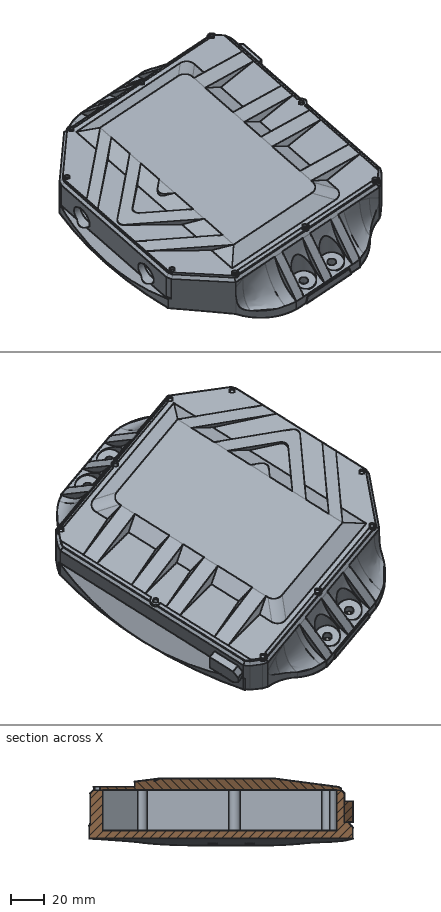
import cadquery as cq
import math

LID_TOP = 39.72
LID_PLATE_TOP = LID_TOP - 5.0
HOUSING_TOP = LID_PLATE_TOP - 2.0
RIM_CHAMFER = 1.9
WALL_TOP = HOUSING_TOP - RIM_CHAMFER

HALF_LENGTH = 97.2
WALL_X = 77.1
BACK_Y = 66.9
FRONT_Y = -83.5
FRONT_CORNER_DIAGONAL = 132.5
FRONT_BEVEL_BOTTOM = 13.0
FRONT_BEVEL_X = 2.0
FRONT_BEVEL_Y = 1.3

UNDERSIDE_RISE = 5.4

FRONT_SKIRT_REACH = 5.75
FRONT_SKIRT_HALF_WIDTH = 49.0
FRONT_SKIRT_TOP = 12.2
FRONT_SKIRT_DROP = 5.0
BACK_SKIRT_REACH = 165.81 - FRONT_SKIRT_REACH - BACK_Y + FRONT_Y
BACK_SKIRT_HALF_WIDTH = 67.8
BACK_SKIRT_TOP = 16.2
BACK_SKIRT_DROP = 10.8

CABLE_HOLE_DIAMETER = 14.0
CABLE_HOLE_X = 28.8
CABLE_HOLE_Z = 17.9

SIDE_WALL = 4.8
CAVITY_FLOOR = 9.0
SCREW_POST_DIAMETER = 7.0

WING_EDGE_X = 96.7
WING_EDGE_BACK = 22.5
WING_EDGE_FRONT = -23.8
WING_WAIST = (-87.0, 41.2)
WING_BACK = 56.9
WING_FRONT = WALL_X - FRONT_CORNER_DIAGONAL
WING_FLOOR = 7.3
PAD_FOOT_WIDTH = 35.4
PAD_TOP_WIDTH = 32.6
PAD_TOP = 5.8
GUSSET_WIDTH = 5.9
GUSSET_PITCH = 21.9
MOUNT_HOLE_DIAMETER = 5.2
MOUNT_SEAT_DIAMETER = 15.0
MOUNT_HOLE_X = 87.2

EDGE_SLOPE_WIDTH = 2.0
EDGE_SLOPE_DROP = 1.0
SCREW_DIAMETER = 3.2
SIDE_SCREW_X = 73.4
SIDE_SCREW_YS = (-53.0, 1.9, 56.8)
FRONT_SCREW = (47.2, -79.0)
BACK_SCREW_Y = 63.1
SCREWS = [(0, BACK_SCREW_Y)]
for side in (-1, 1):
    SCREWS += [(side * SIDE_SCREW_X, y) for y in SIDE_SCREW_YS]
    SCREWS.append((side * FRONT_SCREW[0], FRONT_SCREW[1]))
SIDE_BOSS_DIAMETER = 5.0
BACK_BOSS_DIAMETER = 6.4

PANEL_HALF_WIDTH = 60.0
PANEL_BACK = 25.0
PANEL_FRONT = -42.0
PANEL_SLOPE_WIDTH = 10.0
PANEL_CORNER_RADIUS = 6.0

BACK_RIB_XS = (-47.7, -12.6, 12.6, 47.7)
BACK_RIB_WIDTH = 10.0
BACK_RIB_FLARE = 0.72

CHEVRON_PITCH = 26.5
CHEVRON_WIDTH = 10.0
CHEVRON_LEAN = 0.844
CHEVRON_TIP_RADIUS = 4.0

CONNECTOR_LEFT = -66.2
CONNECTOR_RIGHT = -45.6
CONNECTOR_BOTTOM = 13.8
CONNECTOR_TOP = 26.2
CONNECTOR_CHAMFER = 3.7
CONNECTOR_REACH = 4.9

MARGIN = 20.0


def box(x0, x1, y0, y1, z0, z1):
    return cq.Workplane("XY").box(x1 - x0, y1 - y0, z1 - z0, centered=False).translate((x0, y0, z0))


def prism(points, z0, z1):
    return cq.Workplane("XY").workplane(offset=z0).polyline(points).close().extrude(z1 - z0)


def cylinder(x, y, diameter, z0, z1):
    return cq.Workplane("XY").workplane(offset=z0).center(x, y).circle(diameter / 2).extrude(z1 - z0)


def both_sides(left):
    """The left-hand solid together with its mirror image on the right."""
    return left.union(left.mirror("YZ"))


def wall_outline(front_bevel):
    """Plan outline of the housing walls, with bevelled or sharp front corners."""
    corner_x = FRONT_CORNER_DIAGONAL + FRONT_Y
    left = [(-WALL_X, WING_FRONT)]
    if front_bevel:
        left.append((-corner_x - FRONT_BEVEL_Y, FRONT_Y + FRONT_BEVEL_Y))
        left.append((-corner_x + FRONT_BEVEL_X, FRONT_Y))
    else:
        left.append((-corner_x, FRONT_Y))
    back_corner = [(-66.6, BACK_Y), (-69.9, 65.0), (-75.1, 59.8), (-WALL_X, WING_BACK)]
    left = back_corner + left
    return left + [(-x, y) for x, y in reversed(left)]


def walls():
    lower = prism(wall_outline(False), 0, FRONT_BEVEL_BOTTOM)
    upper = prism(wall_outline(True), FRONT_BEVEL_BOTTOM, HOUSING_TOP)
    upper = upper.faces(">Z").chamfer(RIM_CHAMFER)
    return lower.union(upper)


def skirt(wall_y, reach, half_width, top, drop):
    """Bulging foot of a wall; reach is signed along Y and its top slopes away from the wall."""
    plan = (
        cq.Workplane("XY")
        .moveTo(-half_width, wall_y)
        .threePointArc((0, wall_y + reach), (half_width, wall_y))
        .close()
        .extrude(top)
    )
    slope = (
        cq.Workplane("YZ")
        .polyline([(wall_y, 0), (wall_y, top), (wall_y + reach, top - drop), (wall_y + reach, 0)])
        .close()
        .extrude(half_width, both=True)
    )
    return plan.intersect(slope)


def edge_pad():
    """Slightly proud face on the outer edge of the left wing, narrowing upwards."""
    foot = PAD_FOOT_WIDTH / 2
    top = PAD_TOP_WIDTH / 2
    return (
        cq.Workplane("YZ", origin=(-HALF_LENGTH, 0, 0))
        .polyline([(-foot, 0), (foot, 0), (top, PAD_TOP), (-top, PAD_TOP)])
        .close()
        .extrude(HALF_LENGTH - WALL_X)
    )


def wing_plan():
    """Plan of the left wing, rounded at the front and S-curved into the back corner."""
    return (
        cq.Workplane("XY")
        .moveTo(-WALL_X + 5, WING_BACK)
        .lineTo(-WALL_X, WING_BACK)
        .threePointArc((-81.0, 48.0), WING_WAIST)
        .threePointArc((-93.5, 32.6), (-WING_EDGE_X, WING_EDGE_BACK))
        .lineTo(-WING_EDGE_X, WING_EDGE_FRONT)
        .threePointArc((-90.0, -43.4), (-WALL_X, WING_FRONT))
        .lineTo(-WALL_X + 5, WING_FRONT)
        .close()
        .extrude(WALL_TOP)
        .union(edge_pad())
    )


def ramp_section(y, foot_x, pull, top_z):
    """Wire across the wing: flat floor, then a hollow curve drawn towards `pull` and up the side wall."""
    inner_x = -WALL_X + 5
    outer_x = -HALF_LENGTH - 3
    return (
        cq.Workplane("XZ", origin=(0, y, 0))
        .moveTo(inner_x, 0)
        .lineTo(outer_x, 0)
        .lineTo(outer_x, WING_FLOOR)
        .lineTo(foot_x, WING_FLOOR)
        .bezier([(foot_x, WING_FLOOR), pull, (-WALL_X, top_z)])
        .lineTo(inner_x, top_z)
        .close()
        .wire()
        .val()
    )


def wing_ramp():
    """Scooped top of the left wing: one section along the middle, tightening at both ends."""
    wide = (-WING_EDGE_X, (-83.1, 10.5), WALL_TOP)
    sections = [
        ramp_section(WING_FRONT, -80.0, (-WALL_X, 9.0), 26.7),
        ramp_section(-50.0, -84.4, (-WALL_X, 8.5), 30.0),
        ramp_section(-32.5, *wide),
        ramp_section(29.0, *wide),
        ramp_section(WING_WAIST[1], WING_WAIST[0], (-78.5, 10.0), WALL_TOP),
        ramp_section(49.0, -83.0, (-77.3, 10.0), 27.2),
        ramp_section(WING_BACK, -80.0, (-WALL_X, 10.0), 21.5),
    ]
    ramp = cq.Workplane("XY")
    for near, far in zip(sections, sections[1:]):
        ramp = ramp.union(cq.Workplane(obj=cq.Solid.makeLoft([near, far], True)))
    return ramp


def gussets():
    profile = [(-WALL_X + 1, 0), (-WING_EDGE_X, 0), (-WING_EDGE_X, WING_FLOOR), (-WALL_X, WALL_TOP),
               (-WALL_X + 1, WALL_TOP)]
    ribs = cq.Workplane("XY")
    for row in (-1, 0, 1):
        rib = cq.Workplane("XZ").polyline(profile).close().extrude(GUSSET_WIDTH / 2, both=True)
        ribs = ribs.union(rib.translate((0, row * GUSSET_PITCH, 0)))
    return ribs


def left_wing():
    wing = wing_plan().intersect(wing_ramp())
    for side in (-1, 1):
        y = side * GUSSET_PITCH / 2
        wing = wing.cut(cylinder(-MOUNT_HOLE_X, y, MOUNT_SEAT_DIAMETER, WING_FLOOR, HOUSING_TOP))
        wing = wing.cut(cylinder(-MOUNT_HOLE_X, y, MOUNT_HOLE_DIAMETER, 0, WING_FLOOR))
    return wing.union(gussets())


def underside():
    """Cylinder along Y whose top hollows the bottom of the housing."""
    radius = (HALF_LENGTH**2 + UNDERSIDE_RISE**2) / (2 * UNDERSIDE_RISE)
    return (
        cq.Workplane("XZ")
        .center(0, UNDERSIDE_RISE - radius)
        .circle(radius)
        .extrude(BACK_Y - FRONT_Y, both=True)
    )


def cavity():
    """Open-topped room for the electronics, leaving even walls and a post under each lid screw."""
    plan = cq.Workplane("XY").workplane(offset=CAVITY_FLOOR).polyline(wall_outline(False)).close()
    room = plan.offset2D(-SIDE_WALL, "intersection").extrude(HOUSING_TOP - CAVITY_FLOOR)
    for x, y in SCREWS:
        room = room.cut(cylinder(x, y, SCREW_POST_DIAMETER, CAVITY_FLOOR, HOUSING_TOP))
    return room


def make_housing(connector):
    wing = left_wing()
    body = (
        walls()
        .union(both_sides(wing))
        .union(skirt(FRONT_Y, -FRONT_SKIRT_REACH, FRONT_SKIRT_HALF_WIDTH, FRONT_SKIRT_TOP, FRONT_SKIRT_DROP))
        .union(skirt(BACK_Y, BACK_SKIRT_REACH, BACK_SKIRT_HALF_WIDTH, BACK_SKIRT_TOP, BACK_SKIRT_DROP))
        .cut(underside())
        .cut(cavity())
    )
    cable_holes = (
        cq.Workplane("XZ", origin=(0, FRONT_Y + SIDE_WALL, 0))
        .pushPoints([(-CABLE_HOLE_X, CABLE_HOLE_Z), (CABLE_HOLE_X, CABLE_HOLE_Z)])
        .circle(CABLE_HOLE_DIAMETER / 2)
        .extrude(SIDE_WALL + FRONT_SKIRT_REACH)
    )
    return body.cut(cable_holes).cut(connector)


LID_X = WALL_X - RIM_CHAMFER
LID_BACK = BACK_Y - RIM_CHAMFER
LID_FRONT = FRONT_Y + RIM_CHAMFER


def lid_blank(z1):
    plan = cq.Workplane("XY").workplane(offset=HOUSING_TOP).polyline(wall_outline(True)).close()
    return plan.offset2D(-RIM_CHAMFER, "intersection").extrude(z1 - HOUSING_TOP)


def edge_slope():
    """Triangular cutter for a lid edge, with its corner at the origin and running along Y."""
    return [(-MARGIN, EDGE_SLOPE_DROP), (-MARGIN, -EDGE_SLOPE_DROP), (0, -EDGE_SLOPE_DROP), (EDGE_SLOPE_WIDTH, 0),
            (EDGE_SLOPE_WIDTH, EDGE_SLOPE_DROP)]


def lid_plate():
    plate = lid_blank(LID_PLATE_TOP)
    profile = edge_slope()
    side = (
        cq.Workplane("XZ", origin=(-LID_X, SIDE_SCREW_YS[-1], LID_PLATE_TOP))
        .polyline(profile)
        .close()
        .extrude(SIDE_SCREW_YS[-1] - SIDE_SCREW_YS[0])
    )
    back = (
        cq.Workplane("YZ", origin=(0, LID_BACK, LID_PLATE_TOP))
        .polyline([(-x, z) for x, z in profile])
        .close()
        .extrude(LID_X, both=True)
    )
    plate = plate.cut(both_sides(side)).cut(back)
    for y in SIDE_SCREW_YS:
        boss = cylinder(-SIDE_SCREW_X, y, SIDE_BOSS_DIAMETER, HOUSING_TOP, LID_PLATE_TOP)
        plate = plate.union(both_sides(boss))
    return plate.union(cylinder(0, BACK_SCREW_Y, BACK_BOSS_DIAMETER, HOUSING_TOP, LID_PLATE_TOP))


def panel_outline(spread, z):
    """Panel outline grown by spread, rounded at the back corners only."""
    x = PANEL_HALF_WIDTH + spread
    back = PANEL_BACK + spread
    front = PANEL_FRONT - spread
    radius = PANEL_CORNER_RADIUS
    inset = radius * (1 - math.sqrt(0.5))
    return (
        cq.Workplane("XY", origin=(0, 0, z))
        .moveTo(-x, front)
        .lineTo(x, front)
        .lineTo(x, back - radius)
        .threePointArc((x - inset, back - inset), (x - radius, back))
        .lineTo(radius - x, back)
        .threePointArc((inset - x, back - inset), (-x, back - radius))
        .close()
        .wire()
        .val()
    )


def panel():
    base = panel_outline(PANEL_SLOPE_WIDTH, LID_PLATE_TOP)
    top = panel_outline(0, LID_TOP)
    return cq.Workplane(obj=cq.Solid.makeLoft([base, top], True))


def back_ribs():
    """Flared ribs descending from the panel to the inner line of the back edge slope."""
    end_y = LID_BACK - EDGE_SLOPE_WIDTH
    run = end_y - PANEL_BACK
    drop = LID_TOP - LID_PLATE_TOP
    top_half = BACK_RIB_WIDTH / 2
    bottom_half = top_half + BACK_RIB_FLARE * drop
    ribs = cq.Workplane("XY")
    for x in BACK_RIB_XS:
        along = cq.Plane(origin=(x, PANEL_BACK, LID_TOP), xDir=(1, 0, 0), normal=(0, run, -drop))
        rib = (
            cq.Workplane(along)
            .polyline([(-top_half, 0), (top_half, 0), (bottom_half, drop), (-bottom_half, drop)])
            .close()
            .extrude(math.hypot(run, drop))
        )
        ribs = ribs.union(rib)
    return ribs.intersect(box(-LID_X, LID_X, PANEL_BACK, end_y, LID_PLATE_TOP, LID_TOP))


def chevron_area(half_width):
    """Everything inside a rounded V that is 2 * half_width wide at the panel's front edge."""
    depth = half_width / CHEVRON_LEAN
    points = [(-half_width, PANEL_FRONT), (0, PANEL_FRONT - depth), (half_width, PANEL_FRONT)]
    return prism(points, LID_PLATE_TOP, LID_TOP).edges("|Z and <Y").fillet(CHEVRON_TIP_RADIUS)


def chevrons():
    outer_widths = [PANEL_HALF_WIDTH - i * CHEVRON_PITCH for i in range(3)]
    bands = cq.Workplane("XY")
    for outer in outer_widths:
        band = chevron_area(outer)
        if outer > CHEVRON_WIDTH:
            band = band.cut(chevron_area(outer - CHEVRON_WIDTH))
        bands = bands.union(band)
    descent = (
        cq.Workplane("YZ")
        .polyline([(PANEL_FRONT, LID_TOP), (PANEL_FRONT, LID_PLATE_TOP), (LID_FRONT, LID_PLATE_TOP)])
        .close()
        .extrude(LID_X, both=True)
    )
    return bands.intersect(descent)


def make_lid():
    lid = lid_plate().union(panel()).union(back_ribs()).union(chevrons())
    for x, y in SCREWS:
        lid = lid.cut(cylinder(x, y, SCREW_DIAMETER, HOUSING_TOP, LID_TOP))
    return lid


def make_connector():
    """Block standing on the back wall, chamfered along its two left edges."""
    return (
        box(CONNECTOR_LEFT, CONNECTOR_RIGHT, BACK_Y, BACK_Y + CONNECTOR_REACH, CONNECTOR_BOTTOM, CONNECTOR_TOP)
        .edges("|Y and <X")
        .chamfer(CONNECTOR_CHAMFER)
    )


connector = make_connector()
housing = make_housing(connector)
lid = make_lid()

result = cq.Compound.makeCompound([housing.val(), lid.val(), connector.val()])